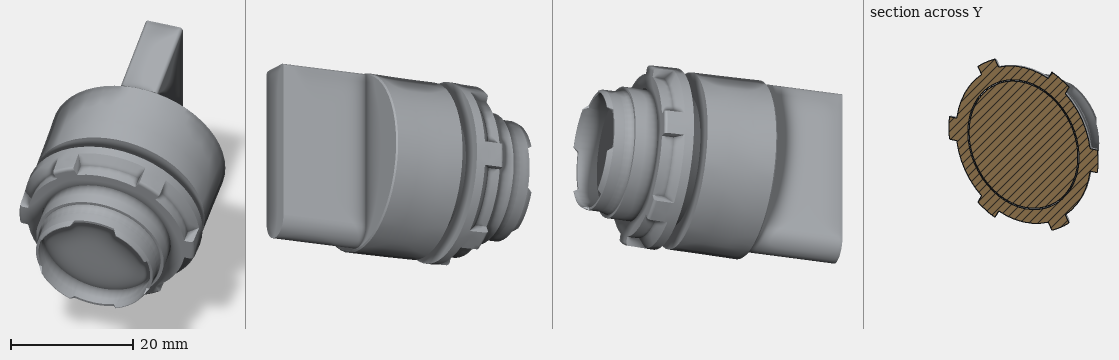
import cadquery as cq
import math

TOTAL_LENGTH = 42.4

NOSE_DIAMETER = 19.9
NOSE_ROOT_DIAMETER = 20.6
NOSE_TIP_DIAMETER = 19.25
NOSE_FLARE_START = 2.7
NOSE_END = 4.25
NOSE_FLARE_SAG = 0.1
BORE_DIAMETER = 19.0
LUG_HEIGHT = 0.9
LUG_GAP_BASE_WIDTH = 6.65
LUG_GAP_TIP_WIDTH = 7.8

NECK_DIAMETER = 21.7

RING_FRONT = 7.95
RING_BACK = 12.95
RING_DIAMETER = 29.98
RING_FRONT_DIAMETER = 29.75
RING_EDGE_RADIUS = 0.5
RECESS_DIAMETER = 26.9
RECESS_SLOPE_FRONT = 10.0
RECESS_BACK = 11.4
CLEARANCE_DIAMETER = 22.0
CLEARANCE_DEPTH = 0.85
TOOTH_COUNT = 6
TOOTH_WIDTH = 4.0

COLLAR_FRONT = 15.4
COLLAR_BACK = 27.45
COLLAR_FRONT_DIAMETER = 29.25
COLLAR_BACK_DIAMETER = 29.55
COLLAR_CHAMFER = 0.25

HANDLE_WIDTH = 6.3
HANDLE_REACH = 14.4
HANDLE_EDGE_RADIUS = 0.55


def turn(profile):
    """Turn a closed (radius, Y) profile about the Y axis."""
    return profile.close().revolve(360, (0, 0, 0), (0, 1, 0))


def cylinder(diameter, front, back):
    """Round bar along Y between two Y positions."""
    return cq.Workplane("XZ", origin=(0, front, 0)).circle(diameter / 2).extrude(front - back)


def make_nose():
    root_radius = NOSE_ROOT_DIAMETER / 2
    radius = NOSE_DIAMETER / 2
    flare_middle = (
        (root_radius + radius) / 2 - NOSE_FLARE_SAG,
        (NOSE_END + NOSE_FLARE_START) / 2,
    )
    nose = turn(
        cq.Workplane("XY")
        .lineTo(NOSE_TIP_DIAMETER / 2, 0)
        .lineTo(radius, LUG_HEIGHT)
        .lineTo(radius, NOSE_FLARE_START)
        .threePointArc(flare_middle, (root_radius, NOSE_END))
        .lineTo(0, NOSE_END)
    )
    nose = nose.cut(cylinder(BORE_DIAMETER, 0, NOSE_END))

    gap = (
        cq.Workplane("XY")
        .polyline([
            (-LUG_GAP_TIP_WIDTH / 2, 0),
            (LUG_GAP_TIP_WIDTH / 2, 0),
            (LUG_GAP_BASE_WIDTH / 2, LUG_HEIGHT),
            (-LUG_GAP_BASE_WIDTH / 2, LUG_HEIGHT),
        ])
        .close()
        .extrude(NOSE_DIAMETER, both=True)
    )
    return nose.cut(gap).cut(gap.rotate((0, 0, 0), (0, 1, 0), 90))


def make_ring():
    front_radius = RING_FRONT_DIAMETER / 2
    edge_center = (front_radius - RING_EDGE_RADIUS, RING_FRONT + RING_EDGE_RADIUS)
    edge_offset = RING_EDGE_RADIUS * math.sqrt(0.5)
    taper = (RING_DIAMETER / 2 - front_radius) / (RING_BACK - edge_center[1])
    recess_back_radius = RING_DIAMETER / 2 - taper * (RING_BACK - RECESS_BACK)
    full_ring = turn(
        cq.Workplane("XY")
        .moveTo(0, RING_FRONT)
        .lineTo(edge_center[0], RING_FRONT)
        .threePointArc(
            (edge_center[0] + edge_offset, edge_center[1] - edge_offset),
            (front_radius, edge_center[1]),
        )
        .lineTo(RING_DIAMETER / 2, RING_BACK)
        .lineTo(0, RING_BACK)
    )
    recessed_ring = turn(
        cq.Workplane("XY")
        .moveTo(0, RING_FRONT)
        .lineTo(RECESS_DIAMETER / 2, RING_FRONT)
        .lineTo(RECESS_DIAMETER / 2, RECESS_SLOPE_FRONT)
        .lineTo(recess_back_radius, RECESS_BACK)
        .lineTo(RING_DIAMETER / 2, RING_BACK)
        .lineTo(0, RING_BACK)
    )

    ring = recessed_ring
    for index in range(TOOTH_COUNT // 2):
        bar = (
            cq.Workplane("XY")
            .box(RING_DIAMETER, RING_BACK - RING_FRONT, TOOTH_WIDTH)
            .translate((0, (RING_FRONT + RING_BACK) / 2, 0))
            .rotate((0, 0, 0), (0, 1, 0), index * 360 / TOOTH_COUNT)
        )
        ring = ring.union(full_ring.intersect(bar))

    return ring.cut(cylinder(CLEARANCE_DIAMETER, RING_FRONT, RING_FRONT + CLEARANCE_DEPTH))


def make_collar():
    back_radius = COLLAR_BACK_DIAMETER / 2
    return turn(
        cq.Workplane("XY")
        .moveTo(0, COLLAR_FRONT)
        .lineTo(COLLAR_FRONT_DIAMETER / 2, COLLAR_FRONT)
        .lineTo(back_radius, COLLAR_BACK - COLLAR_CHAMFER)
        .lineTo(back_radius - COLLAR_CHAMFER, COLLAR_BACK)
        .lineTo(0, COLLAR_BACK)
    )


def make_handle():
    half_width = HANDLE_WIDTH / 2
    round_center = half_width - HANDLE_REACH
    handle = (
        cq.Workplane("XZ", origin=(0, COLLAR_BACK, 0))
        .moveTo(-half_width, round_center)
        .lineTo(-half_width, HANDLE_REACH)
        .lineTo(half_width, HANDLE_REACH)
        .lineTo(half_width, round_center)
        .threePointArc((0, -HANDLE_REACH), (-half_width, round_center))
        .close()
        .extrude(COLLAR_BACK - TOTAL_LENGTH)
    )
    return handle.faces(">Z").edges("|Y").fillet(HANDLE_EDGE_RADIUS)


neck = cylinder(NECK_DIAMETER, NOSE_END, COLLAR_FRONT)
result = make_nose().union(make_ring()).union(neck).union(make_collar()).union(make_handle())